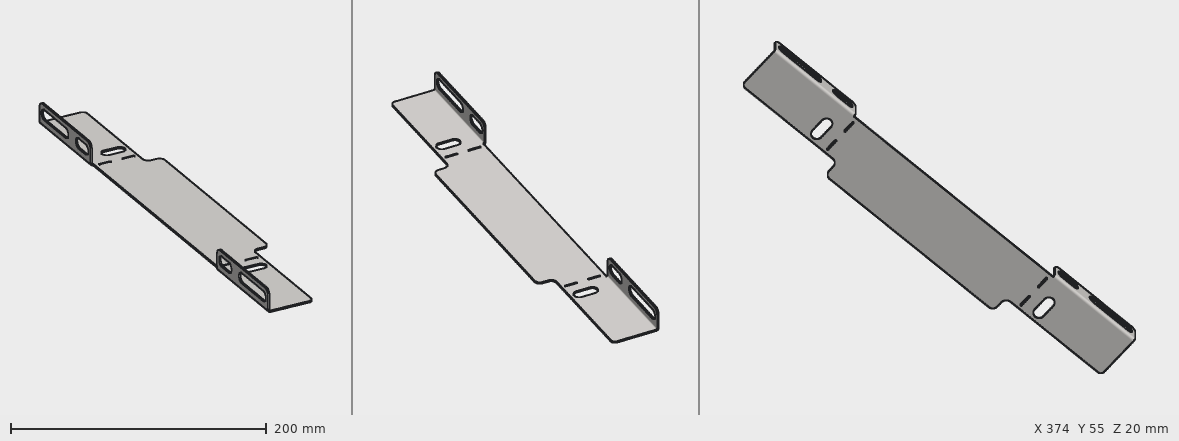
import cadquery as cq

length = 374.0
depth = 55.0
height = 20.0
thickness = 1.5
inner_bend_radius = 0.95
bend_radius = inner_bend_radius + thickness
corner_radius = 5.0

wing_depth = 40.5
wing_corner_radius = 3.7
panel_width = 175.0

flange_width = 83.5

slot_width = 9.0
short_slot_length = 20.5
long_slot_length = 44.0
flange_slot_margin = 3.5
flange_slot_z = 11.2
plate_slot_inset = 71.5
plate_slot_y = 27.0

slit_inset = 86.5
slit_width = 1.0
slit_length = 10.5
slit_centres_y = (11.5, 32.0)

half_length = length / 2


def make_plate():
    """Flat sheet behind the bend, with rounded outline corners."""
    wing_size = wing_depth - bend_radius
    panel_size = depth - bend_radius
    wings = (
        cq.Workplane("XY")
        .box(length, wing_size, thickness, centered=(True, False, False))
        .edges("|Z and >Y")
        .fillet(wing_corner_radius)
    )
    panel = (
        cq.Workplane("XY")
        .box(panel_width, panel_size, thickness, centered=(True, False, False))
        .edges("|Z and >Y")
        .fillet(corner_radius)
    )
    plate = wings.union(panel)
    for side in (-1, 1):
        inner_corner = cq.NearestToPointSelector((side * panel_width / 2, wing_size, thickness / 2))
        plate = plate.edges("|Z").edges(inner_corner).fillet(corner_radius)
    return plate.translate((0, bend_radius, 0))


def make_flange():
    """Left flange: quarter-round bend and upright with rounded top corners."""
    bend = (
        cq.Workplane("YZ", origin=(-half_length, 0, 0))
        .moveTo(bend_radius, 0)
        .radiusArc((0, bend_radius), bend_radius)
        .lineTo(thickness, bend_radius)
        .radiusArc((bend_radius, thickness), -inner_bend_radius)
        .close()
        .extrude(flange_width)
    )
    upright = (
        cq.Workplane("XY", origin=(-half_length, 0, bend_radius))
        .box(flange_width, thickness, height - bend_radius, centered=False)
        .edges("|Y and >Z")
        .fillet(corner_radius)
    )
    return bend.union(upright)


def make_flange_slots():
    """Cutters for the long outer slot and short inner slot of the left flange."""
    long_x = -half_length + flange_slot_margin + long_slot_length / 2
    short_x = -half_length + flange_width - flange_slot_margin - short_slot_length / 2
    plane = cq.Workplane("XZ", origin=(0, thickness, 0))
    long_slot = plane.center(long_x, flange_slot_z).slot2D(long_slot_length, slot_width).extrude(thickness)
    short_slot = plane.center(short_x, flange_slot_z).slot2D(short_slot_length, slot_width).extrude(thickness)
    return long_slot.union(short_slot)


def make_plate_openings():
    """Cutters for the crosswise slot and the two slits of the left wing."""
    openings = (
        cq.Workplane("XY")
        .center(-half_length + plate_slot_inset, plate_slot_y)
        .slot2D(short_slot_length, slot_width, 90)
        .extrude(thickness)
    )
    slit_points = [(-half_length + slit_inset, y) for y in slit_centres_y]
    slits = cq.Workplane("XY").pushPoints(slit_points).rect(slit_width, slit_length).extrude(thickness)
    return openings.union(slits)


flange = make_flange()
cutters = make_flange_slots().union(make_plate_openings())

result = make_plate().union(flange).union(flange.mirror("YZ"))
result = result.cut(cutters).cut(cutters.mirror("YZ"))